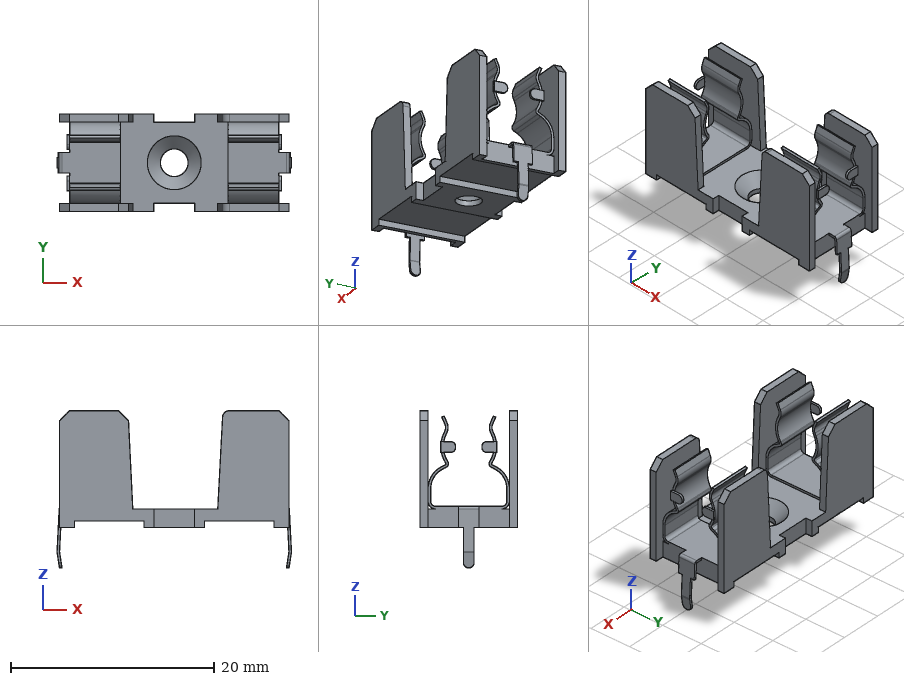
import cadquery as cq
import math

BODY_LENGTH = 22.6
BODY_WIDTH = 9.6
BODY_HEIGHT = 11.53
WALL_THICKNESS = 0.8
FLOOR_TOP = 1.85
END_SETBACK = 1.0
WALL_CHAMFER = 1.0
WALL_ROUND = 0.7
LEFT_GAP_FLOOR = 4.07
LEFT_GAP_CHAMFER = 4.49
RIGHT_GAP_FLOOR = 4.27
RIGHT_GAP_TOP = 4.78
SIDE_NOTCH_LENGTH = 4.0
RECESS_HEIGHT = 0.64
RECESS_START = 3.0
RECESS_END = 9.8

HOLE_DIAMETER = 2.7
COUNTERSINK_DIAMETER = 5.3
COUNTERSINK_ANGLE = 90.0

SHEET = 0.27
CLIP_LENGTH = 5.0
TAB_WIDTH = 2.05
PIN_WIDTH = 1.08
STOP_WIDTH = 1.07
STOP_OUTER_Y = 2.78
STOP_INNER_Y = 1.28
STOP_Z = 7.94
STOP_CORNER = 0.5

half_length = BODY_LENGTH / 2
half_width = BODY_WIDTH / 2
base_end = half_length - END_SETBACK
cavity_half = half_width - WALL_THICKNESS
sheet_mid_z = FLOOR_TOP + SHEET / 2
spring_wall_y = cavity_half - SHEET / 2

SPRING_CORNERS = [
    (2.54, 10.94, 0),
    (2.07, 9.85, 1.0),
    (2.99, 7.79, 2.9),
    (2.02, 6.19, 0.25),
    (spring_wall_y, 5.25, 2.26),
    (spring_wall_y, sheet_mid_z, 0.57),
]

PIN_TIP_Z = -3.97

PIN_CORNERS = [
    (base_end, sheet_mid_z, 0),
    (11.195, sheet_mid_z, 0.17),
    (11.415, -2.4, 0.3),
    (11.17, PIN_TIP_Z, 0),
]


def bent_path(plane, corners):
    """Open wire through the corners, each inner corner rounded by its radius."""
    path = cq.Workplane(plane).moveTo(*corners[0][:2])
    for before, corner, after in zip(corners, corners[1:], corners[2:]):
        point = cq.Vector(*corner[:2])
        radius = corner[2]
        to_before = (cq.Vector(*before[:2]) - point).normalized()
        to_after = (cq.Vector(*after[:2]) - point).normalized()
        half_angle = to_before.getAngle(to_after) / 2
        setback = radius / math.tan(half_angle)
        apex_gap = radius / math.sin(half_angle) - radius
        arc_start = point + to_before * setback
        arc_middle = point + (to_before + to_after).normalized() * apex_gap
        arc_end = point + to_after * setback
        path = path.lineTo(arc_start.x, arc_start.y)
        path = path.threePointArc((arc_middle.x, arc_middle.y), (arc_end.x, arc_end.y))
    return path.lineTo(*corners[-1][:2])


def bent_sheet(plane, corners, width):
    """Sheet of the given width, centred on the plane, following the bent path."""
    path = bent_path(plane, corners)
    (start_u, start_v), (next_u, next_v) = corners[0][:2], corners[1][:2]
    start = path.plane.toWorldCoords((start_u, start_v))
    direction = path.plane.toWorldCoords((next_u, next_v)) - start
    section = cq.Plane(origin=start, xDir=path.plane.zDir, normal=direction)
    return cq.Workplane(section).rect(width, SHEET).sweep(path)


def both_ends(part):
    """The +X part together with its mirror image at the -X end."""
    return part.union(part.mirror("YZ"))


def make_body():
    """Walled base plate with its channel, notches, recesses and screw hole."""
    body = (
        cq.Workplane("XZ", origin=(0, half_width, 0))
        .moveTo(-half_length, 0)
        .lineTo(half_length, 0)
        .lineTo(half_length, BODY_HEIGHT - WALL_CHAMFER)
        .lineTo(half_length - WALL_CHAMFER, BODY_HEIGHT)
        .lineTo(RIGHT_GAP_TOP, BODY_HEIGHT)
        .lineTo(RIGHT_GAP_FLOOR, FLOOR_TOP)
        .lineTo(-LEFT_GAP_FLOOR, FLOOR_TOP)
        .lineTo(-LEFT_GAP_CHAMFER, BODY_HEIGHT - WALL_CHAMFER)
        .lineTo(-LEFT_GAP_CHAMFER - WALL_CHAMFER, BODY_HEIGHT)
        .lineTo(-half_length + WALL_CHAMFER, BODY_HEIGHT)
        .lineTo(-half_length, BODY_HEIGHT - WALL_CHAMFER)
        .close()
        .extrude(BODY_WIDTH)
    )
    rounded_corner = cq.selectors.NearestToPointSelector((RIGHT_GAP_TOP, 0, BODY_HEIGHT))
    body = body.edges("|Y").edges(rounded_corner).fillet(WALL_ROUND)
    channel = (
        cq.Workplane("XY", origin=(0, 0, FLOOR_TOP))
        .rect(BODY_LENGTH, 2 * cavity_half)
        .extrude(BODY_HEIGHT)
    )
    end_pockets = (
        cq.Workplane("XY")
        .pushPoints([(-half_length, 0), (half_length, 0)])
        .rect(2 * END_SETBACK, 2 * cavity_half)
        .extrude(BODY_HEIGHT)
    )
    side_notches = (
        cq.Workplane("XY")
        .pushPoints([(0, -half_width), (0, half_width)])
        .rect(SIDE_NOTCH_LENGTH, 2 * WALL_THICKNESS)
        .extrude(BODY_HEIGHT)
    )
    recess_middle = (RECESS_START + RECESS_END) / 2
    recesses = (
        cq.Workplane("XY")
        .pushPoints([(-recess_middle, 0), (recess_middle, 0)])
        .rect(RECESS_END - RECESS_START, BODY_WIDTH)
        .extrude(RECESS_HEIGHT)
    )
    body = body.cut(channel).cut(end_pockets).cut(side_notches).cut(recesses)
    return (
        body.copyWorkplane(cq.Workplane("XY", origin=(0, 0, FLOOR_TOP)))
        .cskHole(HOLE_DIAMETER, COUNTERSINK_DIAMETER, COUNTERSINK_ANGLE)
    )


def make_spring():
    """Spring strip of the +X clip: two mirrored contact arms joined by the floor."""
    other_side = [(-y, z, radius) for y, z, radius in reversed(SPRING_CORNERS)]
    strip_middle = base_end - CLIP_LENGTH / 2
    strip = bent_sheet("YZ", SPRING_CORNERS + other_side, CLIP_LENGTH)
    return strip.translate((strip_middle, 0, 0))


def make_pin():
    """Bent tab of the +X clip, narrowing below the body to a round-tipped pin."""
    sheet = bent_sheet("XZ", PIN_CORNERS, TAB_WIDTH)
    tab_height = FLOOR_TOP + SHEET
    tab = cq.Workplane("XY").rect(2 * BODY_LENGTH, TAB_WIDTH).extrude(tab_height)
    tip_radius = PIN_WIDTH / 2
    pin = (
        cq.Workplane("YZ")
        .moveTo(-tip_radius, FLOOR_TOP)
        .lineTo(-tip_radius, PIN_TIP_Z + tip_radius)
        .threePointArc((0, PIN_TIP_Z), (tip_radius, PIN_TIP_Z + tip_radius))
        .lineTo(tip_radius, FLOOR_TOP)
        .close()
        .extrude(BODY_LENGTH)
    )
    return sheet.intersect(tab.union(pin))


def make_end_stops():
    """Pair of rounded stops on the outer edge of the +X spring arms."""
    stop = (
        cq.Workplane("YZ", origin=(base_end, (STOP_OUTER_Y + STOP_INNER_Y) / 2, STOP_Z))
        .rect(STOP_OUTER_Y - STOP_INNER_Y, STOP_WIDTH)
        .extrude(SHEET)
        .edges("|X and <Y")
        .fillet(STOP_CORNER)
    )
    return stop.union(stop.mirror("XZ"))


clip = make_spring().union(make_pin()).union(make_end_stops())
result = make_body().union(both_ends(clip))